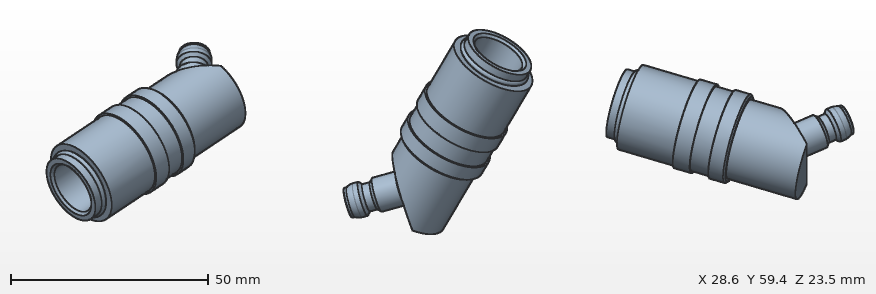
import cadquery as cq
import math

total_length = 59.35
neck_radius = 9.0
bead_start = 2.2
bead_radius = 9.6
body_start = 3.6
body_radius = 11.2
collar_radius = 11.75
lower_collar_start = 18.7
lower_collar_end = 23.2
upper_collar_start = 28.2
upper_collar_end = 32.65
collar_chamfer = 0.5
head_radius = 10.5
head_end = 51.1

bore_radius = 6.8
bore_mouth_radius = 7.55
bore_depth = upper_collar_start
passage_radius = 3.0
passage_depth = 46.9

nozzle_base_x = -3.6
nozzle_length = 14.9
nozzle_radius = 4.5
nozzle_neck_radius = 3.6
nozzle_chamfer = nozzle_radius - nozzle_neck_radius
shank_end = 7.1
barb_start = 10.05
barb_round_start = 12.35
tip_start = 14.1
tip_radius = 4.0
tip_chamfer = 0.2

diagonal = math.sqrt(0.5)
tip_rise = (nozzle_length - tip_chamfer + tip_radius) * diagonal
nozzle_base_y = total_length - tip_rise
nozzle_direction = cq.Vector(-diagonal, diagonal, 0)
nozzle_base = cq.Vector(nozzle_base_x, nozzle_base_y, 0)


def make_sleeve():
    """Revolve the stepped outside and cut the head off at 45 degrees."""
    bead_middle = (bead_start + body_start) / 2
    profile = (
        cq.Workplane("XY")
        .lineTo(neck_radius, 0)
        .lineTo(neck_radius, bead_start)
        .threePointArc((bead_radius, bead_middle), (neck_radius, body_start))
        .lineTo(body_radius, body_start)
        .lineTo(body_radius, lower_collar_start)
        .lineTo(collar_radius, lower_collar_start)
        .lineTo(collar_radius, lower_collar_end)
        .lineTo(body_radius, lower_collar_end)
        .lineTo(body_radius, upper_collar_start)
        .lineTo(collar_radius, upper_collar_start)
        .lineTo(collar_radius, upper_collar_end - collar_chamfer)
        .lineTo(collar_radius - collar_chamfer, upper_collar_end)
        .lineTo(head_radius, upper_collar_end)
        .lineTo(head_radius, head_end)
        .lineTo(0, head_end)
        .close()
    )
    sleeve = profile.revolve(360, (0, 0, 0), (0, 1, 0))

    slope_offset = nozzle_base_y - nozzle_base_x
    outer_x = -collar_radius
    waste = (
        cq.Workplane("XY")
        .moveTo(outer_x, outer_x + slope_offset)
        .lineTo(outer_x, total_length)
        .lineTo(total_length - slope_offset, total_length)
        .close()
        .extrude(collar_radius, both=True)
    )
    return sleeve.cut(waste)


def make_nozzle():
    """Revolve the barbed nozzle about the normal of the sloping face."""
    round_length = tip_start - barb_round_start
    round_drop = nozzle_radius - tip_radius
    round_radius = (round_length**2 + round_drop**2) / (2 * round_drop)
    half_angle = math.asin(round_length / round_radius) / 2
    round_middle = (
        nozzle_radius - round_radius * (1 - math.cos(half_angle)),
        barb_round_start + round_radius * math.sin(half_angle),
    )
    profile = (
        cq.Workplane("XY")
        .lineTo(nozzle_neck_radius, 0)
        .lineTo(nozzle_radius, nozzle_chamfer)
        .lineTo(nozzle_radius, shank_end)
        .lineTo(nozzle_neck_radius, shank_end + nozzle_chamfer)
        .lineTo(nozzle_neck_radius, barb_start)
        .lineTo(nozzle_radius, barb_start + nozzle_chamfer)
        .lineTo(nozzle_radius, barb_round_start)
        .threePointArc(round_middle, (tip_radius, tip_start))
        .lineTo(tip_radius, nozzle_length - tip_chamfer)
        .lineTo(tip_radius - tip_chamfer, nozzle_length)
        .lineTo(0, nozzle_length)
        .close()
    )
    nozzle = profile.revolve(360, (0, 0, 0), (0, 1, 0))
    return nozzle.rotate((0, 0, 0), (0, 0, 1), 45).translate(nozzle_base)


def make_bores():
    """Chamfered socket and passage along Y, met by the sloping nozzle bore."""
    mouth_chamfer = bore_mouth_radius - bore_radius
    straight = (
        cq.Workplane("XY")
        .lineTo(bore_mouth_radius, 0)
        .lineTo(bore_radius, mouth_chamfer)
        .lineTo(bore_radius, bore_depth)
        .lineTo(passage_radius, bore_depth)
        .lineTo(passage_radius, passage_depth)
        .lineTo(0, passage_depth)
        .close()
        .revolve(360, (0, 0, 0), (0, 1, 0))
    )
    meeting_point = cq.Vector(0, nozzle_base_y + nozzle_base_x, 0)
    inner_length = (nozzle_base - meeting_point).Length
    sloping = cq.Solid.makeCylinder(
        passage_radius, inner_length + nozzle_length, meeting_point, nozzle_direction
    )
    return straight.union(cq.Workplane(sloping))


result = make_sleeve().union(make_nozzle()).cut(make_bores())